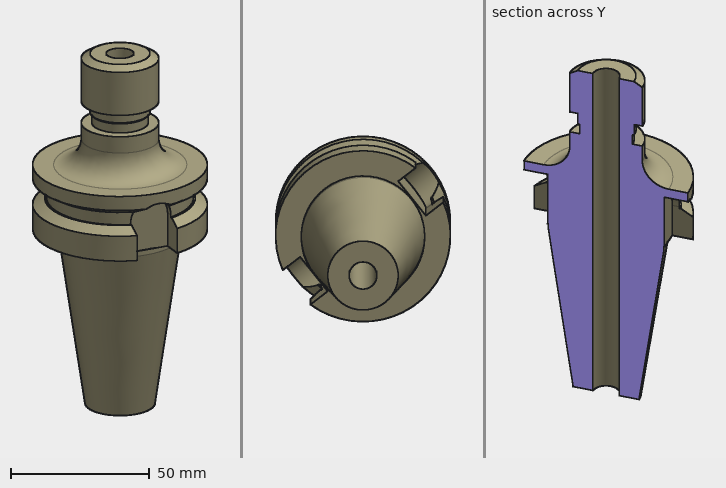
import cadquery as cq
import math


gauge_radius = 44.45 / 2
taper_length = 65.4
taper_slope = 7 / 48
small_end_radius = gauge_radius - taper_length * taper_slope

flange_radius = 63 / 2
flange_bottom = 2.0
flange_top = 27.0
groove_center = 16.6
groove_mouth_half_width = 5.0
groove_floor_half_width = 2.5
groove_floor_radius = 26.5
groove_wall_angle = 60.0
groove_cone_depth = (groove_mouth_half_width - groove_floor_half_width) * math.tan(
    math.radians(groove_wall_angle)
)
groove_cone_radius = flange_radius - groove_cone_depth

nose_radius = 14.0
flare_radius = 10.0
flare_top = flange_top + flare_radius
collar_top = 43.2
neck_radius = 10.2
shoulder_radius = 10.9
shoulder_bottom = 47.4
shoulder_chamfer = shoulder_radius - neck_radius
head_bottom = 51.5
head_top = 70.0
head_face_radius = 10.8
head_chamfer_angle = 30.0
head_chamfer_height = (nose_radius - head_face_radius) * math.tan(math.radians(head_chamfer_angle))

bore_radius = 5.0

slot_width = 16.1
slot_floor_offset = 22.5
slot_top = 23.0


def make_body():
    """Revolve the half section, including the through bore."""
    arc_offset = flare_radius * math.sin(math.radians(45))
    flare_center = (nose_radius + flare_radius, flare_top)
    flare_mid = (flare_center[0] - arc_offset, flare_center[1] - arc_offset)
    section = (
        cq.Workplane("XZ")
        .moveTo(bore_radius, -taper_length)
        .lineTo(small_end_radius, -taper_length)
        .lineTo(gauge_radius, 0)
        .lineTo(gauge_radius, flange_bottom)
        .lineTo(flange_radius, flange_bottom)
        .lineTo(flange_radius, groove_center - groove_mouth_half_width)
        .lineTo(groove_cone_radius, groove_center - groove_floor_half_width)
        .lineTo(groove_floor_radius, groove_center - groove_floor_half_width)
        .lineTo(groove_floor_radius, groove_center + groove_floor_half_width)
        .lineTo(groove_cone_radius, groove_center + groove_floor_half_width)
        .lineTo(flange_radius, groove_center + groove_mouth_half_width)
        .lineTo(flange_radius, flange_top)
        .lineTo(flare_center[0], flange_top)
        .threePointArc(flare_mid, (nose_radius, flare_top))
        .lineTo(nose_radius, collar_top)
        .lineTo(neck_radius, collar_top)
        .lineTo(neck_radius, shoulder_bottom - shoulder_chamfer)
        .lineTo(shoulder_radius, shoulder_bottom)
        .lineTo(shoulder_radius, head_bottom)
        .lineTo(nose_radius, head_bottom)
        .lineTo(nose_radius, head_top - head_chamfer_height)
        .lineTo(head_face_radius, head_top)
        .lineTo(bore_radius, head_top)
        .close()
    )
    return section.revolve(360, (0, 0, 0), (0, 1, 0))


def make_drive_slot(side):
    """Round-topped slot cutter, open at the flange underside; side is -1 or +1 along X."""
    half_width = slot_width / 2
    arc_start = slot_top - half_width
    return (
        cq.Workplane("YZ", origin=(side * slot_floor_offset, 0, 0))
        .moveTo(-half_width, flange_bottom)
        .lineTo(half_width, flange_bottom)
        .lineTo(half_width, arc_start)
        .threePointArc((0, slot_top), (-half_width, arc_start))
        .close()
        .extrude(side * flange_radius)
    )


result = make_body()
for slot_side in (-1, 1):
    result = result.cut(make_drive_slot(slot_side))